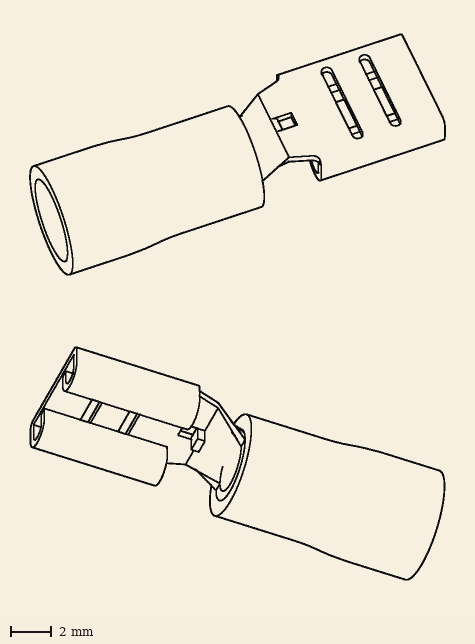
import cadquery as cq
import math

total_length = 19.55
sheet_thickness = 0.4

housing_length = 10.17
entry_radius = 2.8
crimp_radius = 2.6
entry_length = 3.13
flare_angle = math.radians(7.2)
flare_blend_length = 1.3
wire_bore_radius = 2.11
wire_bore_depth = 2.15

mouth_outer_radius = wire_bore_radius
mouth_inner_radius = 1.75
exit_outer_radius = 1.82
exit_inner_radius = 1.33

plate_top = exit_outer_radius
plate_bottom = plate_top - sheet_thickness
plate_half_width = 5.8 / 2
roll_start = 13.04
roll_height = 2.15
roll_radius = 0.88
roll_corner_radius = 0.37
roll_tip_gap = 0.2

neck_start = 11.7
neck_half_width = 2.03
shoulder_half_width = 2.46
shoulder_fillet = 0.4

slot_width = 0.53
slot_length = 4.54
slot_positions = (15.3, 17.3)

tab_width = 0.78
window_end = 12.79
tab_depth = 1.13
tab_bend_radius = 0.3


def make_housing():
    """Flared sleeve, bored for the wire and tapered to fit the barrel."""
    blend_drop = flare_blend_length * math.tan(flare_angle / 2)
    blend_radius = flare_blend_length / math.sin(flare_angle)
    half_angle = flare_angle / 2
    mid_length = blend_radius * math.sin(half_angle)
    mid_drop = blend_radius * (1 - math.cos(half_angle))
    cone_drop = entry_radius - crimp_radius - 2 * blend_drop
    cone_start = entry_length + flare_blend_length
    cone_end = cone_start + cone_drop / math.tan(flare_angle)
    flare_end = cone_end + flare_blend_length
    profile = (
        cq.Workplane("XY")
        .moveTo(wire_bore_radius, 0)
        .lineTo(entry_radius, 0)
        .lineTo(entry_radius, entry_length)
        .threePointArc(
            (entry_radius - mid_drop, entry_length + mid_length),
            (entry_radius - blend_drop, cone_start),
        )
        .lineTo(crimp_radius + blend_drop, cone_end)
        .threePointArc(
            (crimp_radius + mid_drop, flare_end - mid_length),
            (crimp_radius, flare_end),
        )
        .lineTo(crimp_radius, housing_length)
        .lineTo(exit_outer_radius, housing_length)
        .lineTo(mouth_outer_radius, wire_bore_depth)
        .close()
    )
    return profile.revolve(360, (0, 0, 0), (0, 1, 0))


def make_barrel():
    """Tapered tube inside the housing."""
    return (
        cq.Workplane("XY")
        .moveTo(mouth_inner_radius, wire_bore_depth)
        .lineTo(mouth_outer_radius, wire_bore_depth)
        .lineTo(exit_outer_radius, housing_length)
        .lineTo(exit_inner_radius, housing_length)
        .close()
        .revolve(360, (0, 0, 0), (0, 1, 0))
    )


def barrel_arc(radius):
    """Upper half circle at the barrel exit, from -X to +X."""
    return cq.Edge.makeThreePointArc(
        cq.Vector(-radius, housing_length, 0),
        cq.Vector(0, housing_length, radius),
        cq.Vector(radius, housing_length, 0),
    )


def neck_line(z):
    """Straight line across the start of the neck, from -X to +X."""
    return cq.Edge.makeLine(
        cq.Vector(-neck_half_width, neck_start, z),
        cq.Vector(neck_half_width, neck_start, z),
    )


def make_transition():
    """Ruled wall from the upper half of the barrel to the flat neck."""
    rails = (
        barrel_arc(exit_outer_radius),
        neck_line(plate_top),
        neck_line(plate_bottom),
        barrel_arc(exit_inner_radius),
    )
    walls = [
        cq.Face.makeRuledSurface(rails[i - 1], rails[i])
        for i in range(len(rails))
    ]
    for end in (0, 1):
        outer_barrel, outer_neck, inner_neck, inner_barrel = [edge.positionAt(end) for edge in rails]
        outer_side = cq.Edge.makeLine(outer_barrel, outer_neck)
        inner_side = cq.Edge.makeLine(inner_barrel, inner_neck)
        walls.append(cq.Face.makeRuledSurface(outer_side, inner_side))
    shell = cq.Shell.makeShell(walls)
    return cq.Workplane(cq.Solid.makeSolid(shell).fix())


def make_plate():
    """Flat neck and the plate between the two rolls."""
    inner_half_width = plate_half_width - sheet_thickness
    outline = (
        cq.Workplane("XY", origin=(0, 0, plate_bottom))
        .polyline([
            (neck_half_width, neck_start),
            (shoulder_half_width, roll_start),
            (plate_half_width, roll_start),
            (plate_half_width, total_length),
            (-plate_half_width, total_length),
            (-plate_half_width, roll_start),
            (-shoulder_half_width, roll_start),
            (-neck_half_width, neck_start),
        ])
        .close()
    )
    shoulders = cq.selectors.BoxSelector(
        (-inner_half_width, roll_start - 0.2, plate_bottom - 0.2),
        (inner_half_width, roll_start + 0.2, plate_top + 0.2),
    )
    plate = outline.extrude(sheet_thickness)
    plate = plate.edges("|Z").edges(shoulders).fillet(shoulder_fillet)
    return plate.edges("|Y and >Z").fillet(roll_corner_radius)


def make_roll():
    """Side wall at +X, curled inward through a half circle below the plate."""
    center_x = plate_half_width - roll_radius
    center_z = plate_top - roll_height + roll_radius
    inner_radius = roll_radius - sheet_thickness
    tip_z = plate_bottom - roll_tip_gap
    wall_top = plate_top - roll_corner_radius
    return (
        cq.Workplane("XZ", origin=(0, total_length, 0))
        .moveTo(plate_half_width, wall_top)
        .lineTo(plate_half_width, center_z)
        .radiusArc((center_x, center_z - roll_radius), roll_radius)
        .radiusArc((center_x - roll_radius, center_z), roll_radius)
        .lineTo(center_x - roll_radius, tip_z)
        .lineTo(center_x - inner_radius, tip_z)
        .lineTo(center_x - inner_radius, center_z)
        .radiusArc((center_x, center_z - inner_radius), -inner_radius)
        .radiusArc((center_x + inner_radius, center_z), -inner_radius)
        .lineTo(center_x + inner_radius, wall_top)
        .close()
        .extrude(total_length - roll_start)
    )


def make_slots():
    """Cutters for the cross slots, passing through the plate only."""
    return (
        cq.Workplane("XY", origin=(0, 0, plate_bottom))
        .pushPoints([(0, y) for y in slot_positions])
        .slot2D(slot_length, slot_width)
        .extrude(sheet_thickness)
    )


def make_window():
    """Cutter for the opening that the stop tab leaves in the plate."""
    return (
        cq.Workplane("XY", origin=(0, 0, plate_bottom))
        .center(0, (neck_start + window_end) / 2)
        .rect(tab_width, window_end - neck_start)
        .extrude(sheet_thickness)
    )


def make_stop_tab():
    """Tab hanging down from the neck end of the window."""
    return (
        cq.Workplane("XY", origin=(0, neck_start + sheet_thickness / 2, plate_top))
        .rect(tab_width, sheet_thickness)
        .extrude(-tab_depth)
        .edges("|X and >Y and >Z")
        .fillet(tab_bend_radius)
    )


def make_terminal():
    """Barrel, neck and receptacle in one piece of sheet metal."""
    roll = make_roll()
    receptacle = make_plate().union(roll).union(roll.mirror("YZ"))
    receptacle = receptacle.cut(make_slots()).cut(make_window())
    terminal = make_barrel().union(make_transition()).union(receptacle)
    return terminal.union(make_stop_tab())


housing = make_housing()
terminal = make_terminal()

result = cq.Compound.makeCompound([housing.val(), *terminal.vals()])